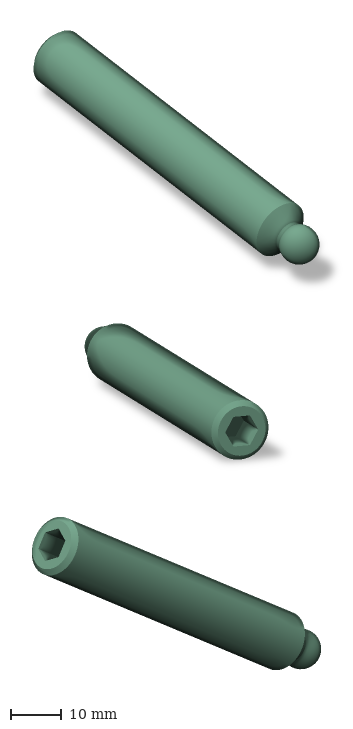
import cadquery as cq
import math

total_length = 80.0
body_diameter = 12.0
end_chamfer = 1.0

ball_diameter = 8.0
neck_diameter = 6.5
shoulder_start = 70.1

socket_across_flats = 6.0
socket_depth = 8.0

body_radius = body_diameter / 2
neck_radius = neck_diameter / 2
ball_radius = ball_diameter / 2
ball_center = total_length - ball_radius
shoulder_end = shoulder_start + body_radius - neck_radius
neck_end = ball_center - math.sqrt(ball_radius**2 - neck_radius**2)


def make_pin():
    """Revolve the half profile of body, shoulder, neck and ball about X."""
    profile = (
        cq.Workplane("XY")
        .moveTo(0, 0)
        .lineTo(0, body_radius - end_chamfer)
        .lineTo(end_chamfer, body_radius)
        .lineTo(shoulder_start, body_radius)
        .lineTo(shoulder_end, neck_radius)
        .lineTo(neck_end, neck_radius)
        .threePointArc((ball_center, ball_radius), (total_length, 0))
        .close()
    )
    return profile.revolve(360, (0, 0, 0), (1, 0, 0))


def make_socket():
    """Hexagonal prism reaching in from the driven end."""
    across_corners = socket_across_flats / math.cos(math.pi / 6)
    return cq.Workplane("YZ").polygon(6, across_corners).extrude(socket_depth)


result = make_pin().cut(make_socket())